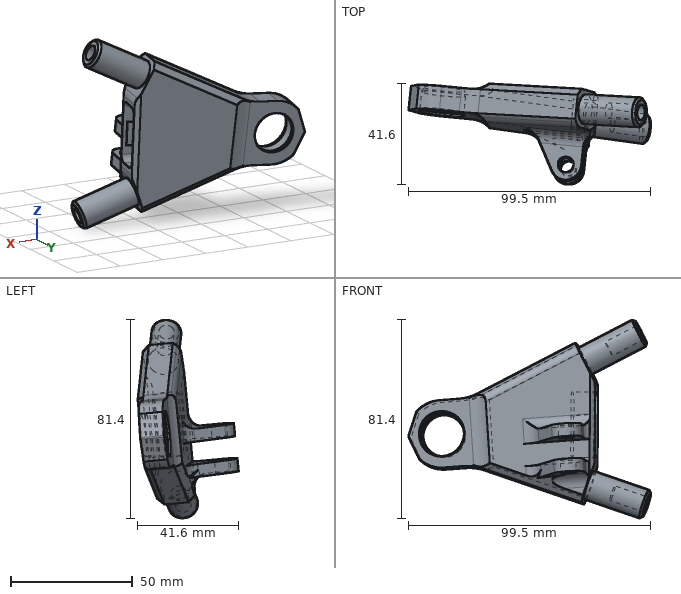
import cadquery as cq
import math


TILT_X = -5.4
TILT_Y = -4.3
TILT_Z = -5.6

EYE_HALF_THICKNESS = 5
EYE_RADIUS = 13.9
TIP_REACH = 13.8
TIP_ROUND = 1
SHOULDER_ANGLE = 135
COUNTERBORE_RADIUS = 9.3
COUNTERBORE_DEPTH = 1
BORE_RADIUS = 9.0
LIP_RADIUS = 8.5
LIP_THICKNESS = 2

PLATE_HALF_THICKNESS = 7.9
ARM_ANGLE = 23.2
ARM_HALF_WIDTH = 8
UPPER_ARM_END = 65.8
LOWER_ARM_END = 63.9
NECK_RADIUS = 19.9
STEP_RADIUS = 9.9
UPPER_EDGE_ROUND = 5.2

REAR_X = 63.4
REAR_TILT = 4.2
REAR_BEVEL = 1.9
REAR_CORNER_ROUND = 7
POCKET_CENTRE_Y = -0.5
POCKET_LENGTH = 26.4
POCKET_HEIGHT = 10.9
POCKET_CORNER_ROUND = 2.8
POCKET_DEPTH = 9.9

ROD_RADIUS = 6.2
UPPER_ROD_LENGTH = 25.8
LOWER_ROD_LENGTH = 25.2
ROD_CHAMFER = 1
ROD_HOLE_RADIUS = 3.2
ROD_HOLE_DEPTH = 14.9

PIN_X = 52.8
PIN_HEIGHT = 20.8
PIN_HOLE_RADIUS = 3.2
LUG_TIP_RADIUS = 6.4
LUG_LEAN = 29
LUG_THICKNESS = 5.3
LUG_GAP = 9.2
LUG_PAIR_Y = -11.6
LUG_FILLET = 5.1
LUG_TOE_FILLET = 7.5

REACH = 149.1
STEP = PLATE_HALF_THICKNESS - EYE_HALF_THICKNESS
ARM_COS = math.cos(math.radians(ARM_ANGLE))
ARM_SIN = math.sin(math.radians(ARM_ANGLE))
REAR_SLOPE = math.tan(math.radians(REAR_TILT))
NECK_X = (EYE_RADIUS * ARM_COS - ARM_HALF_WIDTH) / ARM_SIN


def arm_point(along, outward, side):
    """Flat position on an arm (side 1 upper, -1 lower) from its length and offset from its axis."""
    return (along * ARM_COS - outward * ARM_SIN, side * (along * ARM_SIN + outward * ARM_COS))


def rear_corner(arm_end, side):
    """Point where the end face of an arm meets the rear edge."""
    axis_x, axis_y = arm_point(arm_end, 0, side)
    gap = REAR_X + REAR_SLOPE * axis_y - axis_x
    inward = gap / (ARM_SIN + side * REAR_SLOPE * ARM_COS)
    return arm_point(arm_end, -inward, side)


def half_outline(arm_end):
    """Outline of the upper half, from the eye tip to the outer corner of the arm end."""
    shoulder = math.radians(SHOULDER_ANGLE)
    middle = (shoulder + math.pi / 2) / 2
    tangent = NECK_RADIUS * math.tan(math.radians(ARM_ANGLE / 2))
    return (
        cq.Workplane("XY")
        .moveTo(-TIP_REACH, 0)
        .lineTo(EYE_RADIUS * math.cos(shoulder), EYE_RADIUS * math.sin(shoulder))
        .threePointArc(
            (EYE_RADIUS * math.cos(middle), EYE_RADIUS * math.sin(middle)), (0, EYE_RADIUS)
        )
        .lineTo(NECK_X - tangent, EYE_RADIUS)
        .tangentArcPoint(
            (NECK_X + tangent * ARM_COS, EYE_RADIUS + tangent * ARM_SIN), relative=False
        )
        .lineTo(*arm_point(arm_end, ARM_HALF_WIDTH, 1))
    )


def half_blank(arm_end, side):
    """Half of the part at plate thickness; the lower half is a mirrored upper half."""
    corner_x, corner_y = rear_corner(arm_end, side)
    return (
        half_outline(arm_end)
        .lineTo(corner_x, side * corner_y)
        .lineTo(REAR_X, 0)
        .close()
        .extrude(PLATE_HALF_THICKNESS, both=True)
    )


def upright_edge_at(x, y):
    return cq.selectors.BoxSelector((x - 1, y - 1, -REACH), (x + 1, y + 1, REACH))


def make_blank():
    """Complete outline at plate thickness, with the tip and the rear corners rounded."""
    upper = half_blank(UPPER_ARM_END, 1)
    lower = half_blank(LOWER_ARM_END, -1).mirror("XZ")
    blank = upper.union(lower).clean()
    blank = blank.edges("|Z").edges(upright_edge_at(-TIP_REACH, 0)).fillet(TIP_ROUND)
    for corner in (rear_corner(UPPER_ARM_END, 1), rear_corner(LOWER_ARM_END, -1)):
        blank = blank.edges("|Z").edges(upright_edge_at(*corner)).fillet(REAR_CORNER_ROUND)
    return blank


def step_cutter():
    """Space above the eye, ending in a hollow arc that climbs to the plate face."""
    ramp = math.sqrt(STEP_RADIUS**2 - (STEP_RADIUS - STEP) ** 2)
    return (
        cq.Workplane("XZ")
        .moveTo(-REACH, EYE_HALF_THICKNESS)
        .lineTo(NECK_X, EYE_HALF_THICKNESS)
        .tangentArcPoint((NECK_X + ramp, PLATE_HALF_THICKNESS), relative=False)
        .lineTo(-REACH, PLATE_HALF_THICKNESS)
        .close()
        .extrude(REACH, both=True)
    )


def arm_section():
    """Plane across the upper arm: local x is outward from the arm axis, local y is height."""
    return cq.Workplane(
        cq.Plane((0, 0, 0), xDir=(-ARM_SIN, ARM_COS, 0), normal=(ARM_COS, ARM_SIN, 0))
    )


def bevel_cutter(rise):
    """Space outside a 45 degree bevel on the outer top edge of the upper arm, up to a given rise."""
    return (
        arm_section()
        .moveTo(ARM_HALF_WIDTH, EYE_HALF_THICKNESS)
        .line(-rise, rise)
        .line(rise + REACH, 0)
        .line(0, -rise)
        .close()
        .extrude(REACH)
    )


def rounding_cutter():
    """Space outside the arc that blends the bevel of the upper arm into the plate face."""
    crest = ARM_HALF_WIDTH - STEP
    tangent = UPPER_EDGE_ROUND * math.tan(math.radians(45 / 2))
    drop = tangent * math.sqrt(0.5)
    return (
        arm_section()
        .moveTo(crest - 2 * tangent, PLATE_HALF_THICKNESS)
        .lineTo(crest - tangent, PLATE_HALF_THICKNESS)
        .tangentArcPoint((crest + drop, PLATE_HALF_THICKNESS - drop), relative=False)
        .lineTo(crest + drop, PLATE_HALF_THICKNESS + drop)
        .lineTo(crest - 2 * tangent, PLATE_HALF_THICKNESS + drop)
        .close()
        .extrude(REACH)
    )


def on_rear_edge(shape):
    """Move a shape built about X = 0 onto the tilted rear edge."""
    return shape.rotate((0, 0, 0), (0, 0, 1), -REAR_TILT).translate((REAR_X, 0, 0))


def rear_bevel_cutter():
    """Space outside the bevel on the top of the rear edge."""
    return on_rear_edge(
        cq.Workplane("XZ")
        .moveTo(-REAR_BEVEL, PLATE_HALF_THICKNESS)
        .line(2 * REAR_BEVEL, 0)
        .line(0, -2 * REAR_BEVEL)
        .close()
        .extrude(REACH, both=True)
    )


def rear_pocket():
    return on_rear_edge(
        cq.Workplane("XY")
        .box(2 * POCKET_DEPTH, POCKET_LENGTH, POCKET_HEIGHT)
        .edges("|X")
        .fillet(POCKET_CORNER_ROUND)
        .translate((0, POCKET_CENTRE_Y, 0))
    )


def lug_side_view(filleted):
    """Lug seen along Y, with or without the hollow fillets at its toe and heel."""
    lean = math.radians(LUG_LEAN)
    base = PLATE_HALF_THICKNESS
    root = EYE_HALF_THICKNESS
    touch_x = PIN_X - LUG_TIP_RADIUS * math.cos(lean)
    touch_height = PIN_HEIGHT + LUG_TIP_RADIUS * math.sin(lean)
    foot_x = touch_x - (touch_height - base) * math.tan(lean)
    heel_x = PIN_X + LUG_TIP_RADIUS
    toe = LUG_TOE_FILLET * math.tan((math.pi / 2 - lean) / 2) if filleted else 0
    heel = LUG_FILLET if filleted else 0

    outline = cq.Workplane("XZ").moveTo(foot_x - toe, root).lineTo(foot_x - toe, base)
    if filleted:
        toe_top = (foot_x + toe * math.sin(lean), base + toe * math.cos(lean))
        outline = outline.radiusArc(toe_top, -LUG_TOE_FILLET)
    outline = (
        outline.lineTo(touch_x, touch_height)
        .tangentArcPoint((heel_x, PIN_HEIGHT), relative=False)
        .lineTo(heel_x, base + heel)
    )
    if filleted:
        outline = outline.tangentArcPoint((heel_x + heel, base), relative=False)
    return outline.lineTo(heel_x + heel, root).close()


def lug_end_view(filleted):
    """Upper lug seen along X, about the middle of the pair, with or without its outer fillet."""
    inner = LUG_GAP / 2
    outer = inner + LUG_THICKNESS
    base = PLATE_HALF_THICKNESS
    root = EYE_HALF_THICKNESS
    fillet = LUG_FILLET if filleted else 0
    outline = (
        cq.Workplane("YZ")
        .moveTo(inner, root)
        .lineTo(inner, REACH)
        .lineTo(outer, REACH)
        .lineTo(outer, base + fillet)
    )
    if filleted:
        outline = outline.tangentArcPoint((outer + fillet, base), relative=False)
    return outline.lineTo(outer + fillet, root).close()


def lug_pair(filleted):
    """Both lugs, rooted in the plate down to the foot of the bevels."""
    side_view = lug_side_view(filleted).extrude(REACH, both=True)
    lug = lug_end_view(filleted).extrude(REACH).intersect(side_view)
    return lug.union(lug.mirror("XZ")).translate((0, LUG_PAIR_Y, 0))


def make_lugs():
    """Lugs whose fillets stop at the rear bevel, the lower arm end and the lower arm bevel."""
    behind_rear_bevel = on_rear_edge(
        cq.Workplane("XY").box(REACH, REACH, REACH).translate((REACH / 2 - REAR_BEVEL, 0, 0))
    )
    past_arm_end = (
        cq.Workplane("XY")
        .box(REACH, REACH, REACH)
        .translate((LOWER_ARM_END + REACH / 2, 0, 0))
        .rotate((0, 0, 0), (0, 0, 1), -ARM_ANGLE)
    )
    past_lower_bevel = bevel_cutter(STEP + LUG_TOE_FILLET).mirror("XZ")
    fillets = lug_pair(True).cut(behind_rear_bevel).cut(past_arm_end).cut(past_lower_bevel)
    return fillets.union(lug_pair(False))


def pin_hole():
    return (
        cq.Workplane("XZ")
        .center(PIN_X, PIN_HEIGHT)
        .circle(PIN_HOLE_RADIUS)
        .extrude(REACH, both=True)
    )


def eye_hole():
    """Stepped bore: a shallow counterbore in the lug face and a narrow lip at the back."""
    top = EYE_HALF_THICKNESS
    lip = cq.Workplane("XY").circle(LIP_RADIUS).extrude(top, both=True)
    bore = cq.Workplane("XY", origin=(0, 0, LIP_THICKNESS - top)).circle(BORE_RADIUS).extrude(top * 2)
    counterbore = (
        cq.Workplane("XY", origin=(0, 0, top - COUNTERBORE_DEPTH))
        .circle(COUNTERBORE_RADIUS)
        .extrude(top)
    )
    return lip.union(bore).union(counterbore)


def make_rod(arm_end, length, side):
    """Drilled rod on the end of an arm, rooted inside the arm."""
    return (
        cq.Workplane("YZ", origin=(arm_end - ROD_RADIUS, 0, 0))
        .circle(ROD_RADIUS)
        .extrude(length + ROD_RADIUS)
        .faces(">X")
        .chamfer(ROD_CHAMFER)
        .faces(">X")
        .workplane()
        .circle(ROD_HOLE_RADIUS)
        .cutBlind(-ROD_HOLE_DEPTH)
        .rotate((0, 0, 0), (0, 0, 1), side * ARM_ANGLE)
    )


upper_bevel = bevel_cutter(STEP)
lower_bevel = upper_bevel.mirror("XZ")

body = make_blank()
for cutter in (step_cutter(), upper_bevel, lower_bevel, rear_bevel_cutter()):
    body = body.cut(cutter).cut(cutter.mirror("XY"))
body = body.cut(rounding_cutter()).cut(rear_pocket())
body = body.union(make_lugs()).cut(pin_hole()).cut(eye_hole())
body = body.union(make_rod(UPPER_ARM_END, UPPER_ROD_LENGTH, 1))
body = body.union(make_rod(LOWER_ARM_END, LOWER_ROD_LENGTH, -1))

result = (
    body.rotate((0, 0, 0), (1, 0, 0), 90 + TILT_X)
    .rotate((0, 0, 0), (0, 1, 0), TILT_Y)
    .rotate((0, 0, 0), (0, 0, 1), TILT_Z)
)